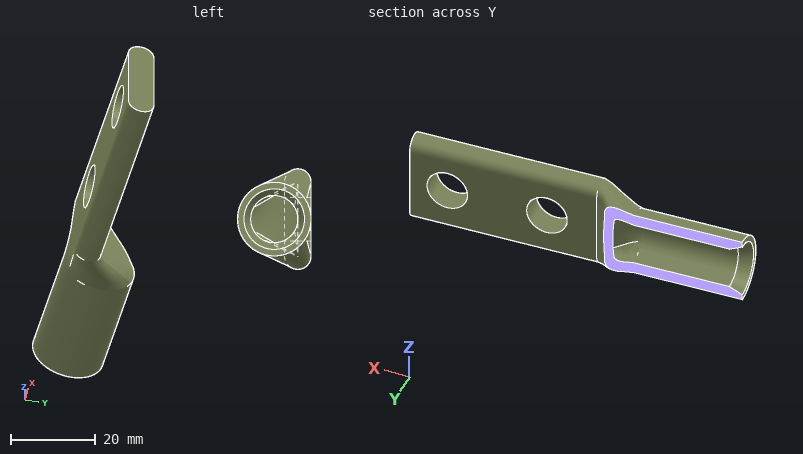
import cadquery as cq
import math

total_length = 85.7
barrel_length = 27.7
pad_start = 38.1
barrel_diameter = 17.4
bore_diameter = 11.15
mouth_diameter = 14.3
pad_width = 23.8
hole_diameter = 10.3
first_hole_x = 50.75
hole_spacing = 25.4
mouth_depth = 3.3
slit_height = 0.1
seam_angle = 30.0
blend_fractions = (0.0, 0.15, 0.3, 0.5, 0.7, 0.85, 1.0)

barrel_radius = barrel_diameter / 2
bore_radius = bore_diameter / 2
wall = barrel_radius - bore_radius
pad_thickness = 2 * wall
pad_center_y = wall - barrel_radius
pad_flat_half_width = pad_width / 2 - wall


def ease(fraction):
    """Blend a straight ramp with a smooth step to soften both ends."""
    smooth_step = fraction ** 2 * (3 - 2 * fraction)
    return (fraction + smooth_step) / 2


def flattened_section(x, radius, flat_height, blend):
    """Closed section between a circle (blend 0) and a flat stadium (blend 1)."""
    half = flat_height / 2
    seam_y = radius * math.cos(math.radians(seam_angle))
    seam_z = radius * math.sin(math.radians(seam_angle))

    def point(round_y, round_z, flat_y, flat_z):
        y = round_y + blend * (pad_center_y + flat_y - round_y)
        z = round_z + blend * (flat_z - round_z)
        return cq.Vector(x, y, z)

    flat = pad_flat_half_width
    bottom_left = point(-seam_y, -seam_z, -half, -flat)
    bottom = point(-radius, 0, -half, 0)
    bottom_right = point(-seam_y, seam_z, -half, flat)
    right = point(0, radius, 0, flat + half)
    top_right = point(seam_y, seam_z, half, flat)
    top = point(radius, 0, half, 0)
    top_left = point(seam_y, -seam_z, half, -flat)
    left = point(0, -radius, 0, -flat - half)

    def face_edge(start, middle, end):
        if blend == 1:
            return cq.Edge.makeLine(start, end)
        return cq.Edge.makeThreePointArc(start, middle, end)

    return cq.Wire.assembleEdges([
        face_edge(bottom_left, bottom, bottom_right),
        cq.Edge.makeThreePointArc(bottom_right, right, top_right),
        face_edge(top_right, top, top_left),
        cq.Edge.makeThreePointArc(top_left, left, bottom_left),
    ])


def transition(radius, flat_height):
    """Loft from the round barrel to the flat pad."""
    sections = []
    for fraction in blend_fractions:
        x = barrel_length + fraction * (pad_start - barrel_length)
        sections.append(flattened_section(x, radius, flat_height, ease(fraction)))
    return cq.Workplane(cq.Solid.makeLoft(sections))


def make_pad():
    pad_length = total_length - pad_start
    pad_section = flattened_section(pad_start, barrel_radius, pad_thickness, 1)
    pad = cq.Workplane(cq.Solid.extrudeLinear(pad_section, [], cq.Vector(pad_length, 0, 0)))
    for index in range(2):
        hole_x = first_hole_x + index * hole_spacing
        hole = (
            cq.Workplane("XZ", origin=(hole_x, barrel_radius, 0))
            .circle(hole_diameter / 2)
            .extrude(barrel_diameter)
        )
        pad = pad.cut(hole)
    return pad


def make_bore():
    """Conical mouth followed by the straight bore."""
    return (
        cq.Workplane("XY")
        .moveTo(0, 0)
        .lineTo(0, mouth_diameter / 2)
        .lineTo(mouth_depth, bore_radius)
        .lineTo(barrel_length, bore_radius)
        .lineTo(barrel_length, 0)
        .close()
        .revolve(360, (0, 0, 0), (1, 0, 0))
    )


barrel = cq.Workplane("YZ").circle(barrel_radius).extrude(barrel_length)
body = barrel.union(transition(barrel_radius, pad_thickness)).union(make_pad())
result = body.cut(make_bore()).cut(transition(bore_radius, slit_height))